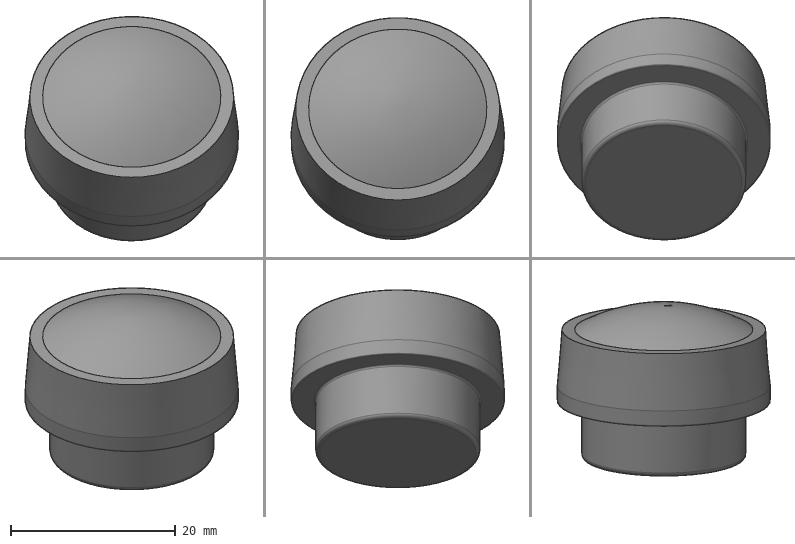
import cadquery as cq
import math

plug_radius = 20 / 2
plug_edge_round = 0.5
neck_round = 0.23

cap_radius = 25.95 / 2
cap_edge_round = 0.1
cap_bottom = 7.05
band_height = 1.95
band_top = cap_bottom + band_height
rim_height = 16.05
rim_radius = 12.4

dome_radius = 10.85
total_height = 19.0
dome_mid_radius = dome_radius / 2
dome_mid_height = 18.22
dome_edge_angle = 28
dome_edge_tangent = (-math.cos(math.radians(dome_edge_angle)), math.sin(math.radians(dome_edge_angle)))
dome_top_tangent = (-1, 0)

profile = (
    cq.Workplane("XZ")
    .lineTo(plug_radius - plug_edge_round, 0)
    .tangentArcPoint((plug_radius, plug_edge_round), relative=False)
    .lineTo(plug_radius, cap_bottom - neck_round)
    .tangentArcPoint((plug_radius + neck_round, cap_bottom), relative=False)
    .lineTo(cap_radius - cap_edge_round, cap_bottom)
    .tangentArcPoint((cap_radius, cap_bottom + cap_edge_round), relative=False)
    .lineTo(cap_radius, band_top)
    .lineTo(rim_radius, rim_height)
    .lineTo(dome_radius, rim_height)
    .spline(
        [(dome_mid_radius, dome_mid_height), (0, total_height)],
        tangents=[dome_edge_tangent, dome_top_tangent],
        includeCurrent=True,
    )
    .close()
)
result = profile.revolve(360, (0, 0, 0), (0, 1, 0))